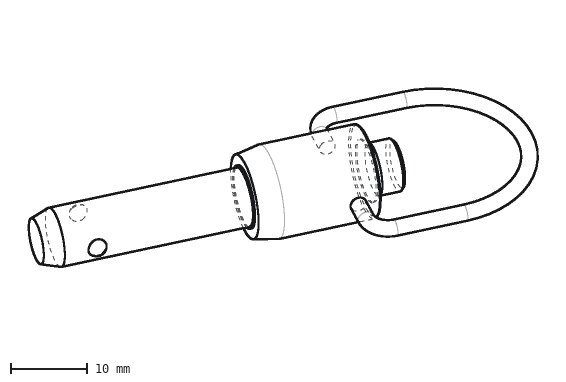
import cadquery as cq
import math

total_length = 68.5

shank_radius = 4.0
tip_radius = 3.1
tip_length = 2.6

body_diameter = 12.7
body_radius = body_diameter / 2
body_nose_radius = 5.7
body_bottom = 28.8
body_taper_top = 32.15
body_top = 45.5
body_edge_chamfer = 0.2

collar_radius = 4.25
collar_length = 0.2

button_radius = 3.55
button_top = 49.9
button_chamfer = 0.4
flare_radius = 4.25
flare_bottom = 45.7
flare_top = 46.6

ball_radius = 1.4
ball_offset = 3.4
ball_height = 7.1

ring_width = 27.0
wire_radius = 1.1
bend_radius = 3.0
ring_end_height = 42.35
ring_end_depth = 2.05
ring_radius = ring_width / 2 - wire_radius
ring_arc_height = total_length - ring_width / 2


def make_pin():
    """Revolve the shank, body and button about the Y axis."""
    profile = [
        (0, 0),
        (tip_radius, 0),
        (shank_radius, tip_length),
        (shank_radius, body_bottom - collar_length),
        (collar_radius, body_bottom - collar_length),
        (collar_radius, body_bottom),
        (body_nose_radius, body_bottom),
        (body_radius, body_taper_top),
        (body_radius, body_top - body_edge_chamfer),
        (body_radius - body_edge_chamfer, body_top),
        (flare_radius, body_top),
        (flare_radius, flare_bottom),
        (button_radius, flare_top),
        (button_radius, button_top - button_chamfer),
        (button_radius - button_chamfer, button_top),
        (0, button_top),
    ]
    return cq.Workplane("XY").polyline(profile).close().revolve(360, (0, 0, 0), (0, 1, 0))


def make_ball(side):
    """Ball protruding from the shank on the given side (-1 or +1)."""
    return cq.Workplane("XY").sphere(ball_radius).translate((side * ball_offset, ball_height, 0))


def make_ring():
    """Sweep the wire around the bow, with both ends buried in the body."""
    end_x = body_radius - ring_end_depth
    bend_x = ring_radius - bend_radius
    bend_y = ring_end_height + bend_radius
    bend_mid_x = bend_x + bend_radius * math.sqrt(0.5)
    bend_mid_y = bend_y - bend_radius * math.sqrt(0.5)
    path = (
        cq.Workplane("XY")
        .moveTo(-end_x, ring_end_height)
        .lineTo(-bend_x, ring_end_height)
        .threePointArc((-bend_mid_x, bend_mid_y), (-ring_radius, bend_y))
        .lineTo(-ring_radius, ring_arc_height)
        .threePointArc((0, ring_arc_height + ring_radius), (ring_radius, ring_arc_height))
        .lineTo(ring_radius, bend_y)
        .threePointArc((bend_mid_x, bend_mid_y), (bend_x, ring_end_height))
        .lineTo(end_x, ring_end_height)
    )
    wire_start = cq.Workplane("YZ", origin=(-end_x, ring_end_height, 0))
    return wire_start.circle(wire_radius).sweep(path)


result = make_pin().union(make_ring())
for side in (-1, 1):
    result = result.union(make_ball(side))